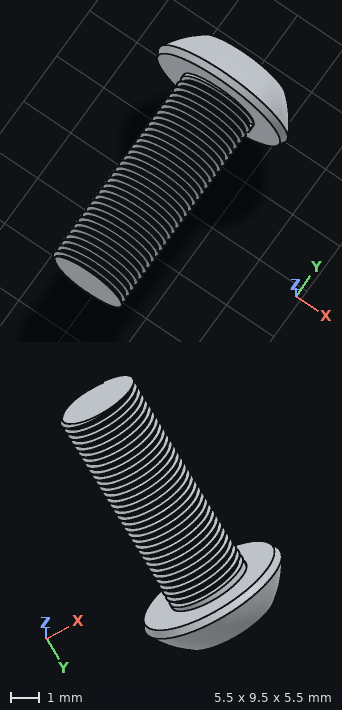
import cadquery as cq
import math

total_length = 9.5
head_diameter = 5.5
head_top_diameter = 3.57
head_base_diameter = 5.22
head_height = 1.5
head_rim_height = 0.27
dome_bulge = 0.09
thread_diameter = 3.0
pitches_along_shank = 32
start_gap_in_pitches = 0.5

shank_length = total_length - head_height
thread_pitch = shank_length / pitches_along_shank
thread_depth = thread_pitch * 5 / 8 * math.sqrt(3) / 2
root_flat = thread_pitch / 4
groove_mouth = thread_pitch * 7 / 8

cutter_overshoot = 0.01

runout_in_pitches = 1
trim_length = 2 * runout_in_pitches * thread_pitch
grooved_pitches = pitches_along_shank - start_gap_in_pitches + runout_in_pitches

head_radius = head_diameter / 2
head_top_radius = head_top_diameter / 2
head_base_radius = head_base_diameter / 2
thread_radius = thread_diameter / 2
root_radius = thread_radius - thread_depth


def make_blank():
    """Revolve the domed head and the plain, over-long shank about the Y axis."""
    rim_y = head_rim_height - head_height
    shank_end_y = -total_length - trim_length

    chord_x = head_radius - head_top_radius
    chord_y = rim_y
    chord = math.hypot(chord_x, chord_y)
    dome_middle = (
        head_top_radius + chord_x / 2 - dome_bulge * chord_y / chord,
        chord_y / 2 + dome_bulge * chord_x / chord,
    )
    return (
        cq.Workplane("XY")
        .lineTo(head_top_radius, 0)
        .threePointArc(dome_middle, (head_radius, rim_y))
        .lineTo(head_base_radius, -head_height)
        .lineTo(thread_radius, -head_height)
        .lineTo(thread_radius, shank_end_y)
        .lineTo(0, shank_end_y)
        .close()
        .revolve(360, (0, 0, 0), (0, 1, 0))
    )


def make_thread_groove():
    """Sweep the trapezoidal groove along a right-handed helix that starts at +X below the head."""
    start_y = -head_height - start_gap_in_pitches * thread_pitch
    flank_slope = (groove_mouth - root_flat) / 2 / thread_depth
    root_half = root_flat / 2
    outer_half = groove_mouth / 2 + cutter_overshoot * flank_slope
    outer_radius = thread_radius + cutter_overshoot

    helix = cq.Wire.makeHelix(thread_pitch, grooved_pitches * thread_pitch, root_radius)
    groove = (
        cq.Workplane("XZ")
        .moveTo(root_radius, -root_half)
        .lineTo(outer_radius, -outer_half)
        .lineTo(outer_radius, outer_half)
        .lineTo(root_radius, root_half)
        .close()
        .sweep(cq.Workplane(obj=helix), isFrenet=True)
    )
    return groove.rotate((0, 0, 0), (1, 0, 0), 90).translate((0, start_y, 0))


def make_tip_trim():
    """Block covering everything beyond the flat tip."""
    return (
        cq.Workplane("XZ", origin=(0, -total_length, 0))
        .rect(head_diameter, head_diameter)
        .extrude(trim_length)
    )


screw = make_blank().cut(make_thread_groove()).cut(make_tip_trim())
result = cq.Workplane(obj=screw.solids().val())